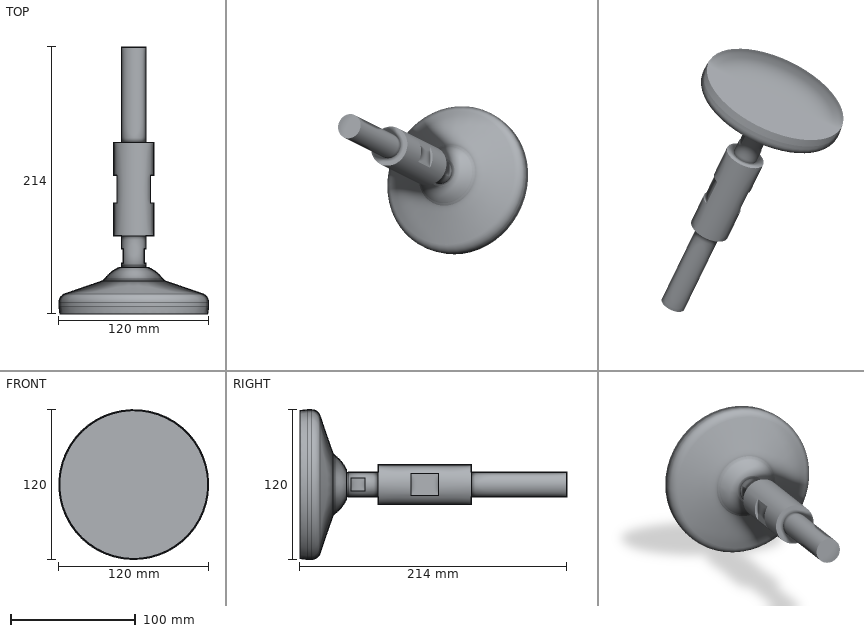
import cadquery as cq
import math

TOTAL_LENGTH = 214.0

FOOT_DIAMETER = 120.0
FOOT_RADIUS = FOOT_DIAMETER / 2
FOOT_BASE_RADIUS = 59.3
RIM_WIDEST_Y = 6.0
SHOULDER_START_Y = 9.2
SHOULDER_RADIUS = 7.5
SHOULDER_SLOPE = 19.0
LIP_RADIUS = 25.0
LIP_Y = 26.5
DOME_BASE_RADIUS = 23.3
DOME_BASE_Y = 28.0
DOME_RADIUS = 28.9
DOME_TOP_Y = 37.5

SPINDLE_DIAMETER = 20.0
SPINDLE_TAPER_LENGTH = 1.7
SPINDLE_TAPER_DEPTH = 0.5
SPINDLE_FLAT_WIDTH = 17.0
SPINDLE_FLAT_START_Y = 40.9
SPINDLE_FLAT_LENGTH = 11.3

SLEEVE_DIAMETER = 32.0
SLEEVE_START_Y = 62.7
SLEEVE_LENGTH = 75.0
SLEEVE_FLAT_WIDTH = 27.0
SLEEVE_FLAT_LENGTH = 22.0


def make_rod(diameter, start_y, length):
    """Solid cylinder along +Y."""
    plane = cq.Plane(origin=(0, start_y, 0), xDir=(1, 0, 0), normal=(0, 1, 0))
    return cq.Workplane(plane).circle(diameter / 2).extrude(length)


def cut_wrench_flats(body, diameter, flat_width, start_y, length):
    """Cut two opposite flats facing -X and +X."""
    for side in (-1, 1):
        cutter = cq.Workplane("XY").box(diameter, length, 2 * diameter).translate(
            (side * (flat_width + diameter) / 2, start_y + length / 2, 0)
        )
        body = body.cut(cutter)
    return body


def make_foot():
    """Revolved disc with a rounded shoulder, a sloping top, a conical lip and a central dome."""
    center_r = FOOT_RADIUS - SHOULDER_RADIUS

    def shoulder_point(degrees):
        angle = math.radians(degrees)
        return (
            center_r + SHOULDER_RADIUS * math.cos(angle),
            SHOULDER_START_Y + SHOULDER_RADIUS * math.sin(angle),
        )

    shoulder_sweep = 90 - SHOULDER_SLOPE
    dome_center_y = DOME_BASE_Y - math.sqrt(DOME_RADIUS**2 - DOME_BASE_RADIUS**2)
    dome_top_radius = math.sqrt(DOME_RADIUS**2 - (DOME_TOP_Y - dome_center_y) ** 2)
    dome_mid_y = (DOME_BASE_Y + DOME_TOP_Y) / 2
    dome_mid_radius = math.sqrt(DOME_RADIUS**2 - (dome_mid_y - dome_center_y) ** 2)

    return (
        cq.Workplane("XY")
        .lineTo(FOOT_BASE_RADIUS, 0)
        .lineTo(FOOT_RADIUS, RIM_WIDEST_Y)
        .lineTo(FOOT_RADIUS, SHOULDER_START_Y)
        .threePointArc(shoulder_point(shoulder_sweep / 2), shoulder_point(shoulder_sweep))
        .lineTo(LIP_RADIUS, LIP_Y)
        .lineTo(DOME_BASE_RADIUS, DOME_BASE_Y)
        .threePointArc((dome_mid_radius, dome_mid_y), (dome_top_radius, DOME_TOP_Y))
        .lineTo(0, DOME_TOP_Y)
        .close()
        .revolve(360, (0, 0, 0), (0, 1, 0))
    )


def make_spindle():
    """Rod standing on the dome, slightly tapered at its lower end, with wrench flats."""
    radius = SPINDLE_DIAMETER / 2
    rod = (
        cq.Workplane("XY")
        .moveTo(0, DOME_TOP_Y)
        .lineTo(radius - SPINDLE_TAPER_DEPTH, DOME_TOP_Y)
        .lineTo(radius, DOME_TOP_Y + SPINDLE_TAPER_LENGTH)
        .lineTo(radius, TOTAL_LENGTH)
        .lineTo(0, TOTAL_LENGTH)
        .close()
        .revolve(360, (0, 0, 0), (0, 1, 0))
    )
    return cut_wrench_flats(
        rod, SPINDLE_DIAMETER, SPINDLE_FLAT_WIDTH, SPINDLE_FLAT_START_Y, SPINDLE_FLAT_LENGTH
    )


def make_sleeve():
    """Tube around the spindle with wrench flats at mid length."""
    tube = make_rod(SLEEVE_DIAMETER, SLEEVE_START_Y, SLEEVE_LENGTH)
    bore = make_rod(SPINDLE_DIAMETER, SLEEVE_START_Y, SLEEVE_LENGTH)
    flat_start_y = SLEEVE_START_Y + (SLEEVE_LENGTH - SLEEVE_FLAT_LENGTH) / 2
    return cut_wrench_flats(
        tube.cut(bore), SLEEVE_DIAMETER, SLEEVE_FLAT_WIDTH, flat_start_y, SLEEVE_FLAT_LENGTH
    )


foot = make_foot()
spindle = make_spindle()
sleeve = make_sleeve()

result = cq.Compound.makeCompound([foot.val(), spindle.val(), sleeve.val()])